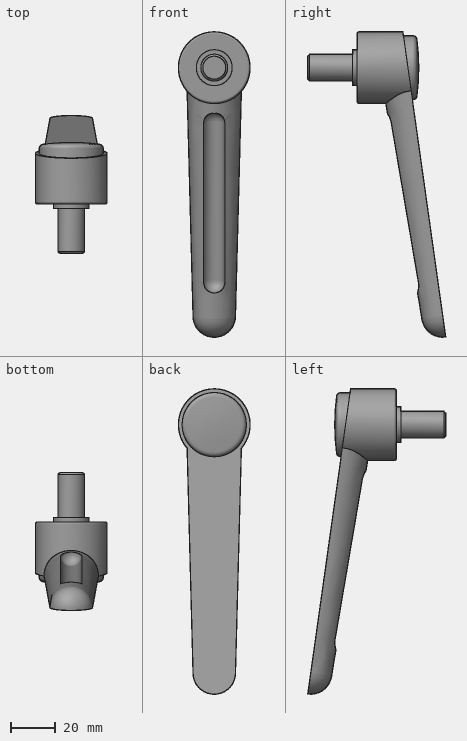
import cadquery as cq
import math


ARC_MID = math.sin(math.pi / 4)

stud_radius = 6.0
stud_length = 20.0
stud_chamfer = 0.9
collar_radius = 8.0
collar_height = 2.0

hub_radius = 16.0
hub_fillet = 1.0

cap_radius = 14.3
cap_base = 10.0
cap_wall_end = 26.6
cap_corner_width = 1.9
cap_top = 29.5
cap_dome_rise = 0.8

lean = math.radians(8.0)
overall_height = 136.02
tip_bottom_z = hub_radius - overall_height
tip_back_y = 41.5
root_radius = 12.4
tip_radius = 9.5

groove_radius = 4.7
groove_top_z = -24.7
groove_bottom_z = -95.6

tip_center_z = tip_bottom_z + tip_radius
tip_center_y = tip_back_y - tip_radius * math.sin(lean)
back_y = tip_center_y + tip_center_z * math.tan(lean)
grip_length = -tip_center_z / math.cos(lean)

grip_origin = cq.Vector(0, back_y, 0)
grip_down = cq.Vector(0, math.sin(lean), -math.cos(lean))
grip_front = cq.Vector(0, -math.cos(lean), -math.sin(lean))
grip_plane = cq.Plane(origin=grip_origin, xDir=(1, 0, 0), normal=grip_front)


def y_cylinder(radius, y_start, y_end):
    """Solid cylinder about the Y axis."""
    plane = cq.Workplane("XZ", origin=(0, y_end, 0))
    return plane.circle(radius).extrude(y_end - y_start)


def make_stud():
    """Stud with a chamfered end, standing on a collar."""
    stud = y_cylinder(stud_radius, -stud_length, collar_height).faces("<Y").chamfer(stud_chamfer)
    collar = y_cylinder(collar_radius, 0, collar_height)
    return stud.union(collar)


def make_hub():
    """Round hub, cut off at the back by the leaned plane of the grip."""
    hub = y_cylinder(hub_radius, collar_height, cap_top).faces("<Y").edges().fillet(hub_fillet)
    trim_size = 4 * hub_radius
    behind_back = cq.Workplane(grip_plane).rect(trim_size, trim_size).extrude(-trim_size)
    return hub.cut(behind_back)


def make_cap():
    """Shallow domed cap with a rounded rim, turned about the Y axis."""
    rim_radius = cap_radius - cap_corner_width
    rim_y = cap_top - cap_dome_rise
    dome_radius = (rim_radius**2 + cap_dome_rise**2) / (2 * cap_dome_rise)
    half_rim = rim_radius / 2
    dome_mid_y = cap_top - dome_radius + math.sqrt(dome_radius**2 - half_rim**2)
    corner_depth = rim_y - cap_wall_end
    corner_mid = (
        rim_radius + cap_corner_width * ARC_MID,
        cap_wall_end + corner_depth * ARC_MID,
    )
    profile = (
        cq.Workplane("XY")
        .moveTo(0, cap_base)
        .lineTo(cap_radius, cap_base)
        .lineTo(cap_radius, cap_wall_end)
        .threePointArc(corner_mid, (rim_radius, rim_y))
        .threePointArc((half_rim, dome_mid_y), (0, cap_top))
        .close()
    )
    return profile.revolve(360, (0, 0, 0), (0, 1, 0))


def make_grip():
    """Half of a tapered round bar with a ball tip; the axis lies in the flat back."""
    tip_mid = tip_radius * ARC_MID
    profile = (
        cq.Workplane(grip_plane)
        .lineTo(root_radius, 0)
        .lineTo(tip_radius, -grip_length)
        .threePointArc((tip_mid, -grip_length - tip_mid), (0, -grip_length - tip_radius))
        .close()
    )
    return profile.revolve(180, (0, 0, 0), (0, -1, 0))


def groove_center(z):
    """Center of the groove at height z, level with the rims it leaves on the round front."""
    taper = (root_radius - tip_radius) / grip_length
    bar_radius = root_radius + taper * z / math.cos(lean)
    rim_height = math.sqrt(bar_radius**2 - groove_radius**2)
    along = -z / math.cos(lean) - rim_height * math.tan(lean)
    return grip_origin + grip_down * along + grip_front * rim_height


def make_groove():
    """Capsule that cuts the groove: a round bar with a ball at each end."""
    top = groove_center(groove_top_z)
    bottom = groove_center(groove_bottom_z)
    run = bottom - top
    groove_plane = cq.Plane(origin=top, xDir=(1, 0, 0), normal=cq.Vector(1, 0, 0).cross(run))
    ball_mid = groove_radius * ARC_MID
    profile = (
        cq.Workplane(groove_plane)
        .moveTo(0, -groove_radius)
        .threePointArc((ball_mid, -ball_mid), (groove_radius, 0))
        .lineTo(groove_radius, run.Length)
        .threePointArc((ball_mid, run.Length + ball_mid), (0, run.Length + groove_radius))
        .close()
    )
    return profile.revolve(360, (0, 0, 0), (0, 1, 0))


grooved_grip = make_grip().cut(make_groove())
result = make_hub().union(grooved_grip).union(make_cap()).union(make_stud())